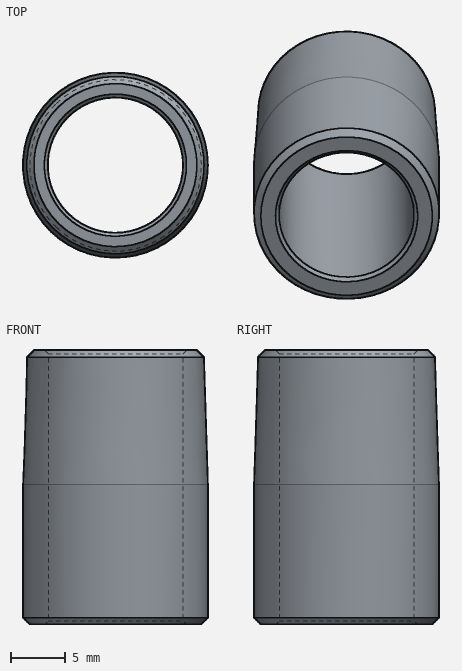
import cadquery as cq

length = 25.4
outer_diameter = 17.15
outer_radius = outer_diameter / 2
bore_radius = 6.25

taper_start = 12.95
taper_tip_radius = 8.2

top_chamfer = 0.65
bottom_chamfer = 0.64
bore_chamfer = 0.33

half_section = (
    cq.Workplane("XZ")
    .moveTo(bore_radius + bore_chamfer, 0)
    .lineTo(outer_radius - bottom_chamfer, 0)
    .lineTo(outer_radius, bottom_chamfer)
    .lineTo(outer_radius, taper_start)
    .lineTo(taper_tip_radius, length - top_chamfer)
    .lineTo(taper_tip_radius - top_chamfer, length)
    .lineTo(bore_radius + bore_chamfer, length)
    .lineTo(bore_radius, length - bore_chamfer)
    .lineTo(bore_radius, bore_chamfer)
    .close()
)

result = half_section.revolve(360, (0, 0, 0), (0, 1, 0))